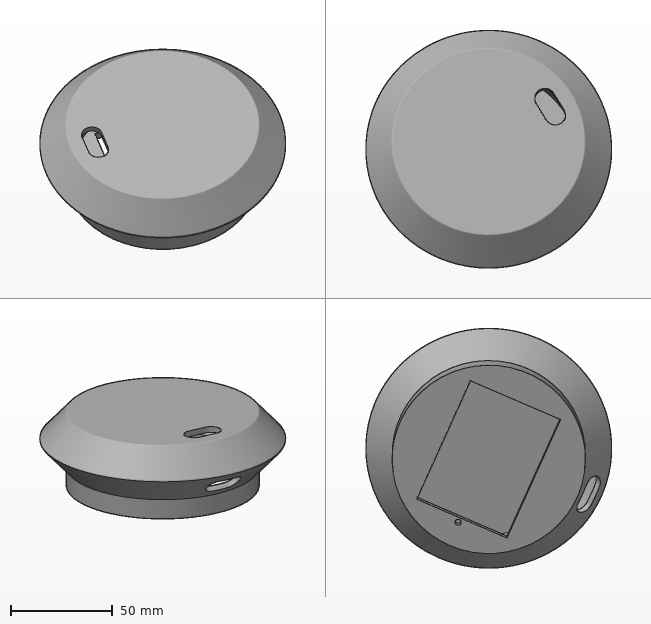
import cadquery as cq
import math

HEIGHT = 38.7
RIM_RADIUS = 60.4
NECK_HEIGHT = 10.2
CONE_ANGLE = math.radians(47)
EDGE_ROUND = 1.0
WALL = 3.0
FLOOR = 4.4

SEAM_Z = (NECK_HEIGHT + HEIGHT) / 2
CONE_HEIGHT = SEAM_Z - NECK_HEIGHT
SHARP_RIM = RIM_RADIUS + EDGE_ROUND * (1 / math.sin(CONE_ANGLE) - 1)
CONE_SLOPE = 1 / math.tan(CONE_ANGLE)
NECK_RADIUS = SHARP_RIM - CONE_HEIGHT * CONE_SLOPE

SLOT_LENGTH = 20.0
SLOT_WIDTH = 10.0
TOP_SLOT_Y = -35.0
CONE_SLOT_Z = 17.0
CONE_SLOT_Y = -(SHARP_RIM - (SEAM_Z - CONE_SLOT_Z) * CONE_SLOPE)

WINDOW_LENGTH = 65.3
WINDOW_WIDTH = 48.3
SCREW_HOLE_DIAMETER = 3.0
SCREW_HOLE_X = 35.0
SCREW_HOLE_Y = 1.0

INNER_NECK = NECK_RADIUS - WALL
CEILING_Z = HEIGHT - WALL
INNER_RIM = SHARP_RIM - WALL / math.sin(CONE_ANGLE)
INNER_NECK_TOP = SEAM_Z - (INNER_RIM - INNER_NECK) / CONE_SLOPE
INNER_TOP = INNER_RIM - (CEILING_Z - SEAM_Z) * CONE_SLOPE


def revolve(points):
    """Revolve a closed (radius, z) outline around the Z axis."""
    return cq.Workplane("XZ").polyline(points).close().revolve(360, (0, 0, 0), (0, 1, 0))


def slot_cutter(plane, depth):
    """Obround bar centred on the plane, running depth to each side."""
    return cq.Workplane(plane).slot2D(SLOT_LENGTH, SLOT_WIDTH).extrude(depth, both=True)


def make_envelope():
    """Solid outer shape of the closed case, with its rim and top edge rounded."""
    envelope = revolve([
        (0, 0), (NECK_RADIUS, 0), (NECK_RADIUS, NECK_HEIGHT),
        (SHARP_RIM, SEAM_Z), (NECK_RADIUS, HEIGHT), (0, HEIGHT),
    ])
    rim_and_top = cq.selectors.BoxSelector(
        (-SHARP_RIM, -SHARP_RIM, SEAM_Z - WALL), (SHARP_RIM, SHARP_RIM, HEIGHT + WALL))
    return envelope.edges("%CIRCLE").edges(rim_and_top).fillet(EDGE_ROUND)


def make_cavity():
    """Hollow space between the floor and the ceiling."""
    return revolve([
        (0, FLOOR), (INNER_NECK, FLOOR), (INNER_NECK, INNER_NECK_TOP),
        (INNER_RIM, SEAM_Z), (INNER_TOP, CEILING_Z), (0, CEILING_Z),
    ])


def make_housing(shell):
    """Lower half with the neck, floor openings and a slot square to the cone."""
    above = cq.Workplane().workplane(offset=SEAM_Z).circle(SHARP_RIM).extrude(HEIGHT)
    slot_plane = cq.Plane(
        origin=(0, CONE_SLOT_Y, CONE_SLOT_Z),
        xDir=(1, 0, 0),
        normal=(0, -math.sin(CONE_ANGLE), -math.cos(CONE_ANGLE)),
    )
    window = cq.Workplane().rect(WINDOW_LENGTH, WINDOW_WIDTH).extrude(FLOOR)
    screw_hole = (
        cq.Workplane()
        .center(SCREW_HOLE_X, SCREW_HOLE_Y)
        .circle(SCREW_HOLE_DIAMETER / 2)
        .extrude(FLOOR)
    )
    housing = shell.cut(above).cut(window).cut(screw_hole)
    return housing.cut(slot_cutter(slot_plane, 2 * WALL))


def make_lid(shell):
    """Upper half with a slot through its flat top."""
    below = cq.Workplane().circle(SHARP_RIM).extrude(SEAM_Z)
    slot_plane = cq.Plane(origin=(0, TOP_SLOT_Y, HEIGHT))
    return shell.cut(below).cut(slot_cutter(slot_plane, 2 * WALL))


case_shell = make_envelope().cut(make_cavity())
housing = make_housing(case_shell)
lid = make_lid(case_shell)

result = cq.Compound.makeCompound([housing.val(), lid.val()])